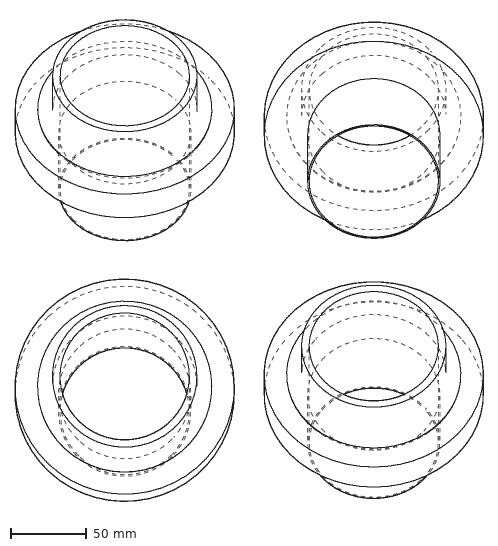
import cadquery as cq

lower_tube_length = 60.0
flange_thickness = 25.0
upper_tube_length = 35.0

flange_diameter = 146.0
lower_tube_diameter = 88.0
upper_tube_diameter = 96.0
bore_diameter = 86.0
groove_outer_diameter = 115.9

flange_top = lower_tube_length + flange_thickness
total_height = flange_top + upper_tube_length


def disc(diameter, bottom, height):
    """Solid cylinder on the Z axis, starting at the given height."""
    return cq.Workplane("XY").workplane(offset=bottom).circle(diameter / 2).extrude(height)


def ring_groove():
    """Half-round groove in the flange top, running around the upper tube."""
    inner_radius = upper_tube_diameter / 2
    outer_radius = groove_outer_diameter / 2
    groove_radius = (outer_radius - inner_radius) / 2
    return (
        cq.Workplane("XZ")
        .moveTo(inner_radius, flange_top)
        .threePointArc(
            (inner_radius + groove_radius, flange_top - groove_radius),
            (outer_radius, flange_top),
        )
        .close()
        .revolve(360, (0, 0, 0), (0, 1, 0))
    )


lower_tube = disc(lower_tube_diameter, 0, lower_tube_length)
flange = disc(flange_diameter, lower_tube_length, flange_thickness)
upper_tube = disc(upper_tube_diameter, flange_top, upper_tube_length)
bore = disc(bore_diameter, 0, total_height)

result = lower_tube.union(flange).union(upper_tube).cut(ring_groove()).cut(bore)